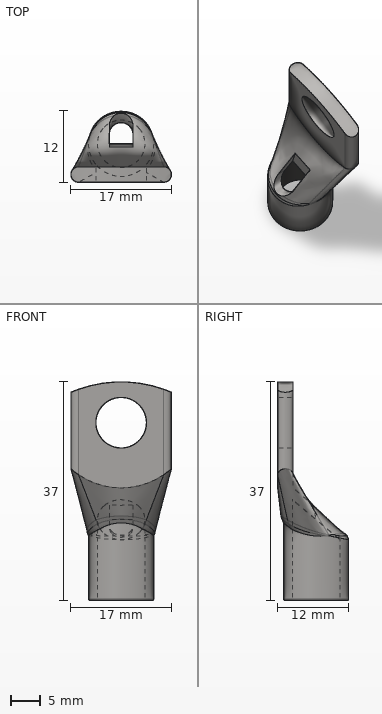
import cadquery as cq
import math


total_height = 36.95
total_depth = 12.0

barrel_radius = 11.0 / 2
bore_diameter = 8.0
bore_end_height = 13.67
bore_end_slope = 40.0
mouth_fillet = 0.3

rim_front_height = 13.1
rim_front_corner_y = -4.18
rim_front_corner_height = 12.1
rim_side_y = -1.1
rim_side_height = 11.05
rim_back_corner_y = 2.18
rim_back_corner_height = 10.95
rim_back_height = 10.27

palm_width = 17.0
palm_thickness = 2.62
palm_front_y = barrel_radius - total_depth
palm_tip_radius = 21.25
palm_root_radius = 12.75
palm_root_height = 19.03
hole_diameter = 8.5
hole_height = 30.05

collar_points = [(0, -5.75, 13.75), (4.03, -4.62, 12.95), (5.58, -1.77, 11.68), (5.03, 2.18, 11.0), (0, 5.3, 10.9)]
shoulder_points = [(0, -5.95, 14.3), (4.25, -4.85, 13.65), (5.7, -2.05, 12.3), (5.0, 2.15, 11.1), (0, 4.88, 11.38)]

window_width = 3.95
window_tip_y = 5.17
window_tip_height = 11.05
window_length = 7.02
window_depth = 4.47
window_tilt = 77.5


def mirrored(point):
    """The same point on the other side of the YZ symmetry plane."""
    return (-point[0], point[1], point[2])


def on_barrel(y):
    """The X of the barrel's outer surface at the given Y."""
    return math.sqrt(barrel_radius**2 - y**2)


def edge_through(shape, point):
    """The edge of the shape that passes nearest to the point."""
    vertex = cq.Vertex.makeVertex(*point)
    return min(shape.Edges(), key=lambda edge: edge.distance(vertex))


def make_barrel():
    """Solid round bar whose upper end follows the rim heights along Y."""
    front_x = on_barrel(rim_front_corner_y)
    back_x = on_barrel(rim_back_corner_y)
    bar = (
        cq.Workplane("XY")
        .moveTo(-front_x, rim_front_corner_y)
        .threePointArc((0, -barrel_radius), (front_x, rim_front_corner_y))
        .threePointArc((barrel_radius, 0), (back_x, rim_back_corner_y))
        .threePointArc((0, barrel_radius), (-back_x, rim_back_corner_y))
        .threePointArc((-barrel_radius, 0), (-front_x, rim_front_corner_y))
        .close()
        .extrude(2 * rim_front_height)
        .faces("<Z").edges().fillet(mouth_fillet)
    )
    front_slope = (rim_front_height - rim_front_corner_height) / (-barrel_radius - rim_front_corner_y)
    back_slope = (rim_back_height - rim_back_corner_height) / (barrel_radius - rim_back_corner_y)
    reach = 1.1 * barrel_radius
    front_end_height = rim_front_height + front_slope * (barrel_radius - reach)
    back_end_height = rim_back_height + back_slope * (reach - barrel_radius)
    rim_profile = (
        cq.Workplane("YZ")
        .moveTo(-reach, 0)
        .lineTo(-reach, front_end_height)
        .lineTo(rim_front_corner_y, rim_front_corner_height)
        .threePointArc((rim_side_y, rim_side_height), (rim_back_corner_y, rim_back_corner_height))
        .lineTo(reach, back_end_height)
        .lineTo(reach, 0)
        .close()
        .extrude(barrel_radius, both=True)
    )
    return bar.intersect(rim_profile)


def make_disc(height, radius):
    """Disc standing on edge at the given height, its axis along Y, longer than the part is deep."""
    return cq.Workplane("XZ", origin=(0, 0, height)).circle(radius).extrude(palm_width, both=True)


def make_palm():
    """Flat bar with round sides, a bowed tip and a bowed root."""
    back_y = palm_front_y + palm_thickness
    middle_y = palm_front_y + palm_thickness / 2
    half_width = palm_width / 2
    flat_x = half_width - palm_thickness / 2
    slab = (
        cq.Workplane("XY")
        .moveTo(-flat_x, palm_front_y)
        .lineTo(flat_x, palm_front_y)
        .threePointArc((half_width, middle_y), (flat_x, back_y))
        .lineTo(-flat_x, back_y)
        .threePointArc((-half_width, middle_y), (-flat_x, palm_front_y))
        .close()
        .extrude(total_height)
    )
    tip_disc = make_disc(total_height - palm_tip_radius, palm_tip_radius)
    root_disc = make_disc(palm_root_height + palm_root_radius, palm_root_radius)
    return slab.intersect(tip_disc).intersect(root_disc)


def make_ring(front, front_corner, side, back_corner, back):
    """Front, right, back and left arcs of a symmetric ring of the transition."""
    arcs = [
        (mirrored(front_corner), front, front_corner),
        (front_corner, side, back_corner),
        (back_corner, back, mirrored(back_corner)),
        (mirrored(back_corner), mirrored(side), mirrored(front_corner)),
    ]
    return [cq.Edge.makeThreePointArc(*(cq.Vector(point) for point in arc)) for arc in arcs]


def ruled(lower, upper):
    """Ruled face between two edges; run the wrong way it would cross over itself."""
    reversed_upper = cq.Edge(upper.wrapped.Reversed())
    faces = [cq.Face.makeRuledSurface(lower, end) for end in (upper, reversed_upper)]
    return min(faces, key=lambda face: sum(edge.Length() for edge in face.Edges()))


def make_transition(barrel, palm):
    """Straight-ruled skin from the barrel rim over the collar and shoulder to the palm root."""
    rim_points = [
        (0, -barrel_radius, rim_front_height),
        (on_barrel(rim_side_y), rim_side_y, rim_side_height),
        (0, barrel_radius, rim_back_height),
        (-on_barrel(rim_side_y), rim_side_y, rim_side_height),
    ]
    root_face = palm.faces("<Z").val()
    rim_ring = [edge_through(barrel.val(), point) for point in rim_points]
    root_ring = [cq.Workplane(root_face).edges(side).val() for side in ("<Y", ">X", ">Y", "<X")]
    rings = [rim_ring, make_ring(*collar_points), make_ring(*shoulder_points), root_ring]
    skin = [
        ruled(lower, upper)
        for lower_ring, upper_ring in zip(rings, rings[1:])
        for lower, upper in zip(lower_ring, upper_ring)
    ]
    rim_faces = [face for face in barrel.faces().vals() if face.normalAt().z > 0.5]
    shell = cq.Shell.makeShell(skin + rim_faces + [root_face])
    return cq.Solid.makeSolid(shell)


def make_window():
    """Round-ended prism pushed into the sloping back, squared off at the palm end."""
    tilt = math.radians(window_tilt)
    plane = cq.Plane(
        origin=(0, window_tip_y, window_tip_height),
        xDir=(-1, 0, 0),
        normal=(0, math.sin(tilt), math.cos(tilt)),
    )
    half = window_width / 2
    outline = (
        cq.Workplane(plane)
        .moveTo(-half, half)
        .threePointArc((0, 0), (half, half))
        .lineTo(half, window_length)
        .lineTo(-half, window_length)
        .close()
    )
    return outline.extrude(window_depth, both=True)


def make_bore():
    """Wire bore whose blind end slopes like the back of the transition."""
    radius = bore_diameter / 2
    rise = radius * math.tan(math.radians(bore_end_slope))
    end_profile = (
        cq.Workplane("YZ")
        .moveTo(-radius, 0)
        .lineTo(-radius, bore_end_height + rise)
        .lineTo(radius, bore_end_height - rise)
        .lineTo(radius, 0)
        .close()
        .extrude(radius, both=True)
    )
    return cq.Workplane("XY").circle(radius).extrude(total_height).intersect(end_profile)


barrel = make_barrel()
palm = make_palm()
transition = cq.Workplane(make_transition(barrel, palm))
hole = make_disc(hole_height, hole_diameter / 2)

result = barrel.union(transition).union(palm).cut(hole).cut(make_bore()).cut(make_window())